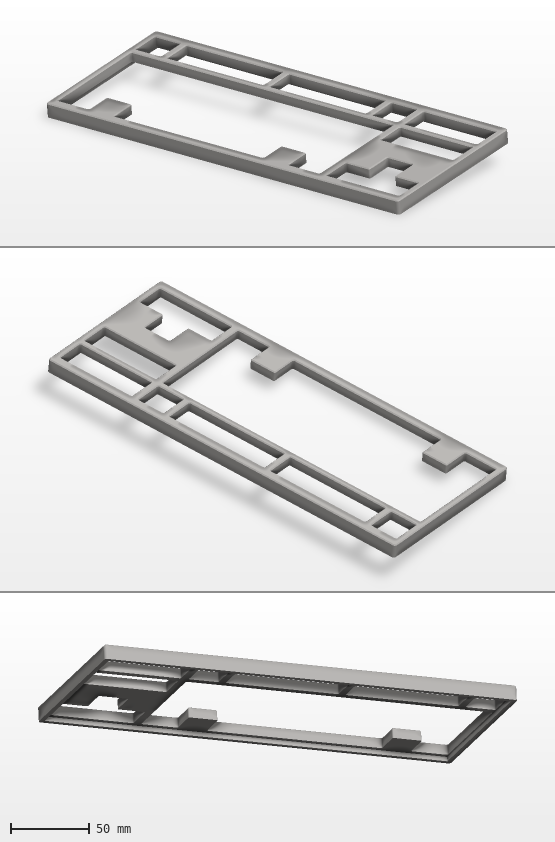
import cadquery as cq
import math

WIDTH = 283.8
OVERALL_DEPTH = 116.5
OVERALL_HEIGHT = 24.0
TILT = 7.0
CORNER_RADIUS = 2.0
EDGE_CHAMFER = 0.7

WEB_THICKNESS = 7.0
RIM_WALL = 3.5

KEY = 19.05
CLEARANCE = 0.7
OPENING_RADIUS = 1.0
MAIN_KEYS = 11
MAIN_ROWS = 4
NAV_KEYS = 3
NAV_GAP = 6.8
FUNCTION_ROW_GAP = 6.0
FUNCTION_GROUPS = (1, 4, 4, 1)

SIDE_KEYS = 1.25
TAB_KEYS = 1.125

sin_tilt = math.sin(math.radians(TILT))
cos_tilt = math.cos(math.radians(TILT))
spread = cos_tilt**2 - sin_tilt**2
untrimmed_depth = OVERALL_DEPTH + EDGE_CHAMFER * sin_tilt
untrimmed_height = OVERALL_HEIGHT + EDGE_CHAMFER * sin_tilt
plate_length = (untrimmed_depth * cos_tilt - untrimmed_height * sin_tilt) / spread
rim_height = (untrimmed_height * cos_tilt - untrimmed_depth * sin_tilt) / spread

field_width = (MAIN_KEYS + NAV_KEYS) * KEY + NAV_GAP
field_length = (MAIN_ROWS + 1) * KEY + FUNCTION_ROW_GAP
main_left = -field_width / 2
main_front = -field_length / 2
nav_left = main_left + MAIN_KEYS * KEY + NAV_GAP
function_front = main_front + MAIN_ROWS * KEY + FUNCTION_ROW_GAP
function_gap = (MAIN_KEYS - sum(FUNCTION_GROUPS)) * KEY / (len(FUNCTION_GROUPS) - 1)


def key_block(left, front, columns, rows):
    """Cutter for a block of keys, taller than the plate, with clearance all round."""
    width = columns * KEY
    length = rows * KEY
    cutter = cq.Workplane("XY").box(width + 2 * CLEARANCE, length + 2 * CLEARANCE, 2 * rim_height)
    return cutter.translate((left + width / 2, front + length / 2, 0))


def plate():
    """Rounded plate with a shallow recess underneath, inside the rim."""
    body = cq.Workplane("XY").box(WIDTH, plate_length, rim_height)
    body = body.edges("|Z").fillet(CORNER_RADIUS)
    return (
        body.faces("<Z")
        .workplane()
        .rect(WIDTH - 2 * RIM_WALL, plate_length - 2 * RIM_WALL)
        .cutBlind(WEB_THICKNESS - rim_height)
    )


def function_openings():
    """One opening for each group of the function row, and one above the navigation keys."""
    openings = []
    left = main_left
    for columns in FUNCTION_GROUPS:
        openings.append(key_block(left, function_front, columns, 1))
        left += columns * KEY + function_gap
    openings.append(key_block(nav_left, function_front, NAV_KEYS, 1))
    return openings


def main_opening():
    """Full rows at the back and a bottom row split by the two tabs."""
    opening = key_block(main_left, main_front + KEY, MAIN_KEYS, MAIN_ROWS - 1)
    space_keys = MAIN_KEYS - 2 * (SIDE_KEYS + TAB_KEYS)
    left = main_left
    for columns in (SIDE_KEYS, space_keys, SIDE_KEYS):
        opening = opening.union(key_block(left, main_front, columns, 1))
        left += (columns + TAB_KEYS) * KEY
    return opening


def navigation_opening():
    """Back row of the navigation block."""
    return key_block(nav_left, main_front + (MAIN_ROWS - 1) * KEY, NAV_KEYS, 1)


def arrow_opening():
    """Inverted T of the arrow keys."""
    bottom_row = key_block(nav_left, main_front, NAV_KEYS, 1)
    up_key = key_block(nav_left + KEY, main_front + KEY, 1, 1)
    return bottom_row.union(up_key)


def frame():
    body = plate()
    openings = function_openings() + [main_opening(), navigation_opening(), arrow_opening()]
    for opening in openings:
        body = body.cut(opening.edges("|Z").fillet(OPENING_RADIUS))
    return body.faces(">Z").edges().chamfer(EDGE_CHAMFER)


result = frame().rotate((0, 0, 0), (1, 0, 0), TILT)